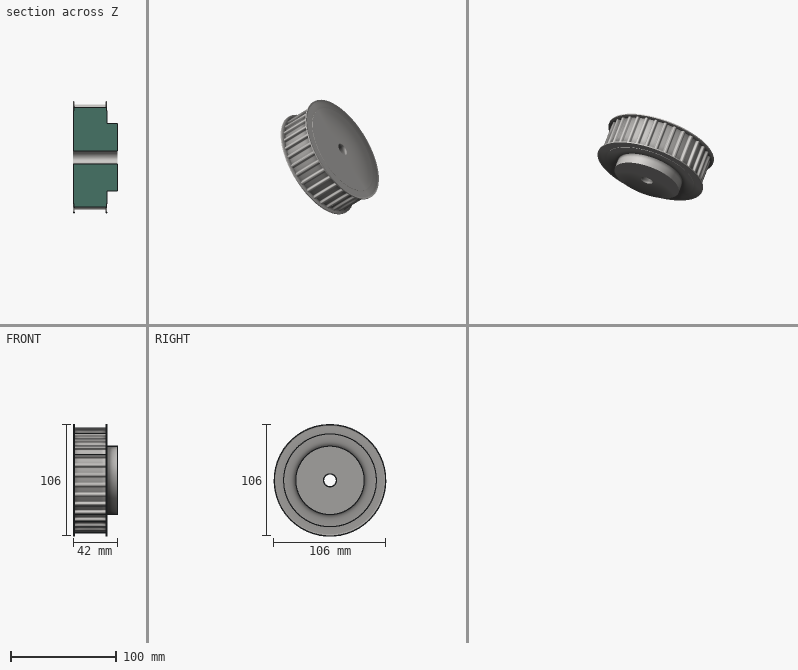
import cadquery as cq
import math


tooth_count = 32
tooth_tip_diameter = 100.1
groove_depth = 2.5
groove_floor_width = 5.3
flank_angle = 25.0
root_fillet = 0.6
tip_fillet = 1.1

flange_diameter = 106.0
flange_thickness = 1.0
rim_width = 1.6
rim_flare = 0.25

core_diameter = 88.1
core_length = 32.0
hub_diameter = 65.0
total_length = 42.0
bore_diameter = 12.0

tip_radius = tooth_tip_diameter / 2
root_radius = tip_radius - groove_depth
mid_groove_radius = (tip_radius + root_radius) / 2
flange_inner_face = rim_flare + flange_thickness
toothed_length = core_length - 2 * flange_inner_face


def cylinder(diameter, start, length):
    """Cylinder about the X axis, starting at X = start; its seam faces +Z."""
    outline = cq.Workplane("XZ").moveTo(start, 0).rect(length, diameter / 2, centered=False)
    return outline.revolve(360, (0, 0, 0), (1, 0, 0))


def groove_cutter():
    """Tapered belt groove pointing along +Y, with a floor concentric with the pulley."""
    half_floor = groove_floor_width / 2
    floor_corner = math.sqrt(root_radius**2 - half_floor**2)
    mouth = tip_radius + groove_depth
    half_mouth = half_floor + (mouth - floor_corner) * math.tan(math.radians(flank_angle))
    cutter = (
        cq.Workplane("YZ", origin=(flange_inner_face, 0, 0))
        .moveTo(floor_corner, -half_floor)
        .threePointArc((root_radius, 0), (floor_corner, half_floor))
        .lineTo(mouth, half_mouth)
        .lineTo(mouth, -half_mouth)
        .close()
        .extrude(toothed_length)
    )
    return cutter.edges("|X and <Y").fillet(root_fillet)


def toothed_ring():
    """Cylinder with evenly spaced belt grooves and rounded tooth tips; one groove faces +Y."""
    cutter = groove_cutter().val()
    pitch_angle = 360 / tooth_count
    cutters = [
        cutter.rotate(cq.Vector(0, 0, 0), cq.Vector(1, 0, 0), i * pitch_angle)
        for i in range(tooth_count)
    ]
    blank = cylinder(tooth_tip_diameter, flange_inner_face, toothed_length).val()
    ring = cq.Workplane(blank.cut(*cutters))

    def on_tooth_tip(edge):
        middle = edge.Center()
        return math.hypot(middle.y, middle.z) > mid_groove_radius

    return ring.edges("|X").filter(on_tooth_tip).fillet(tip_fillet)


def flange():
    """Sheet flange at the X = 0 end, its rim flared towards -X."""
    outer_radius = flange_diameter / 2
    bend_radius = outer_radius - rim_width
    return (
        cq.Workplane("XZ")
        .moveTo(rim_flare, 0)
        .lineTo(rim_flare, bend_radius)
        .lineTo(0, outer_radius)
        .lineTo(flange_thickness, outer_radius)
        .lineTo(flange_inner_face, bend_radius)
        .lineTo(flange_inner_face, 0)
        .close()
        .revolve(360, (0, 0, 0), (1, 0, 0))
    )


first_flange = flange()
second_flange = first_flange.mirror("YZ").translate((core_length, 0, 0))
core = cylinder(core_diameter, 0, core_length)
hub = cylinder(hub_diameter, core_length, total_length - core_length)
bore = cylinder(bore_diameter, 0, total_length)

result = toothed_ring().union(first_flange).union(second_flange).union(core).union(hub).cut(bore)